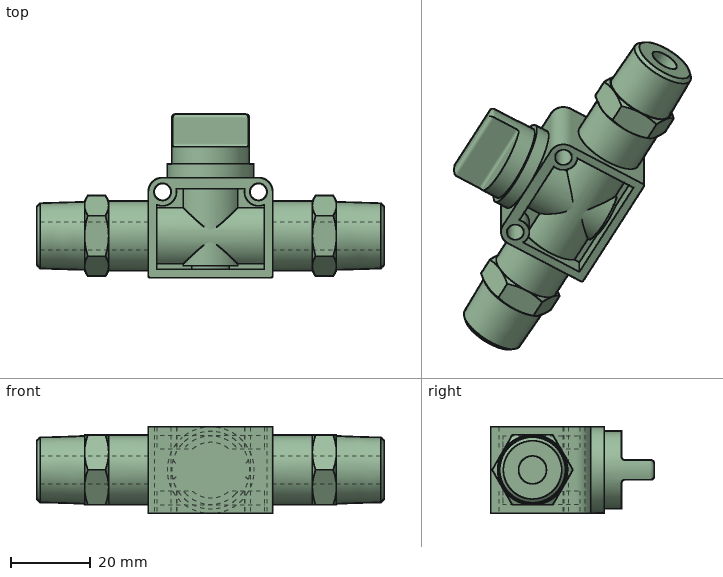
import cadquery as cq
import math


total_length = 87.0
pipe_diameter = 17.5
bore_diameter = 7.0
thread_tip_radius = 8.2
thread_taper = 1 / 32
tip_chamfer = 0.9
hex_across_flats = 17.5
hex_inner_x = 25.5
hex_outer_x = 31.5
hex_chamfer_angle = 30.0

body_width = 31.2
body_height = 21.7
body_back_y = 14.6
body_front_y = -10.5
front_edge_fillet = 0.5
mount_hole_diameter = 4.2
mount_corner_radius = 3.6
boss_radius = 3.5

side_wall = 2.1
front_wall = 2.1
back_wall = 2.8
web_thickness = 10.5

stem_diameter = 17.2
stem_front_y = -7.5
spigot_diameter = 14.0

collar_diameter = 21.7
collar_end_y = 18.0
knob_diameter = 19.5
knob_shoulder_y = 22.3
knob_end_y = 30.5
grip_thickness = 5.0
grip_root_fillet = 0.8
grip_end_fillet = 1.0

end_x = total_length / 2
body_half_width = body_width / 2
half_height = body_height / 2
pocket_depth = (body_height - web_thickness) / 2
mount_y = body_back_y - mount_corner_radius
mount_x = body_half_width - mount_corner_radius
mount_points = [(-mount_x, mount_y), (mount_x, mount_y)]


def cylinder_x(diameter, x_start, x_end):
    """Round bar along the flow axis."""
    return cq.Workplane("YZ", origin=(x_start, 0, 0)).circle(diameter / 2).extrude(x_end - x_start)


def cylinder_y(diameter, y_start, y_end):
    """Round bar along the stem axis."""
    return cq.Workplane("XZ", origin=(0, y_start, 0)).circle(diameter / 2).extrude(y_start - y_end)


def block(x_size, y_start, y_end, z_start, z_end):
    """Box centred on X = 0 between the given Y and Z limits."""
    return (
        cq.Workplane("XY", origin=(0, (y_start + y_end) / 2, z_start))
        .rect(x_size, y_end - y_start)
        .extrude(z_end - z_start)
    )


def make_body():
    """Block with rounded mounting corners, before pocketing."""
    body = block(body_width, body_front_y, body_back_y, -half_height, half_height)
    body = body.edges("|Z and >Y").fillet(mount_corner_radius)
    return body.edges("|Z and <Y").fillet(front_edge_fillet)


def make_pocket(z_start):
    """Pocket volume that leaves the mounting bosses, the pipe and the stem standing."""
    z_end = z_start + pocket_depth
    pocket = block(
        body_width - 2 * side_wall,
        body_front_y + front_wall,
        body_back_y - back_wall,
        z_start,
        z_end,
    )
    bosses = (
        cq.Workplane("XY", origin=(0, 0, z_start))
        .pushPoints(mount_points)
        .circle(boss_radius)
        .extrude(pocket_depth)
    )
    pocket = pocket.cut(bosses)
    pocket = pocket.cut(cylinder_x(pipe_diameter, -body_half_width, body_half_width))
    pocket = pocket.cut(cylinder_y(stem_diameter, stem_front_y, body_back_y))
    return pocket.cut(cylinder_y(spigot_diameter, body_front_y, stem_front_y))


def make_hex():
    """Hexagon with corners on the Y axis and both ends chamfered by a cone."""
    width = hex_outer_x - hex_inner_x
    corner_radius = hex_across_flats / math.sqrt(3)
    face_radius = hex_across_flats / 2
    chamfer_length = (corner_radius - face_radius) * math.tan(math.radians(hex_chamfer_angle))
    nut = cq.Workplane("YZ", origin=(hex_inner_x, 0, 0)).polygon(6, 2 * corner_radius).extrude(width)
    envelope = (
        cq.Workplane("XY")
        .moveTo(hex_inner_x, 0)
        .lineTo(hex_inner_x, face_radius)
        .lineTo(hex_inner_x + chamfer_length, corner_radius)
        .lineTo(hex_outer_x - chamfer_length, corner_radius)
        .lineTo(hex_outer_x, face_radius)
        .lineTo(hex_outer_x, 0)
        .close()
        .revolve(360, (0, 0, 0), (1, 0, 0))
    )
    return nut.intersect(envelope)


def make_thread():
    """Tapered thread envelope with a chamfered tip."""
    taper_length = end_x - tip_chamfer - hex_outer_x
    root_radius = thread_tip_radius + taper_length * thread_taper
    return (
        cq.Workplane("XY")
        .moveTo(hex_outer_x, 0)
        .lineTo(hex_outer_x, root_radius)
        .lineTo(end_x - tip_chamfer, thread_tip_radius)
        .lineTo(end_x, thread_tip_radius - tip_chamfer)
        .lineTo(end_x, 0)
        .close()
        .revolve(360, (0, 0, 0), (1, 0, 0))
    )


def make_pipe_end():
    """Pipe, hexagon and thread on the +X side, with a blind bore reaching the body face."""
    pipe = cylinder_x(pipe_diameter, body_half_width, hex_inner_x)
    pipe_end = pipe.union(make_hex()).union(make_thread())
    return pipe_end.cut(cylinder_x(bore_diameter, body_half_width, end_x))


def make_knob():
    """Collar and round knob with a flat finger grip."""
    knob = cylinder_y(knob_diameter, collar_end_y, knob_end_y)
    for side in (-1, 1):
        z_limits = sorted((side * grip_thickness / 2, side * knob_diameter))
        relief = block(2 * knob_diameter, knob_shoulder_y, knob_end_y, *z_limits)
        root_edge = "<Y and <Z" if side > 0 else "<Y and >Z"
        relief = relief.edges(root_edge).fillet(grip_root_fillet)
        knob = knob.cut(relief)
    knob = knob.faces(">Y").edges().fillet(grip_end_fillet)
    return cylinder_y(collar_diameter, body_back_y, collar_end_y).union(knob)


pipe_end = make_pipe_end()

result = make_body()
for pocket_start in (-half_height, half_height - pocket_depth):
    result = result.cut(make_pocket(pocket_start))
mount_holes = (
    cq.Workplane("XY", origin=(0, 0, -half_height))
    .pushPoints(mount_points)
    .circle(mount_hole_diameter / 2)
    .extrude(body_height)
)
result = result.cut(mount_holes)
result = result.union(pipe_end).union(pipe_end.mirror("YZ")).union(make_knob())